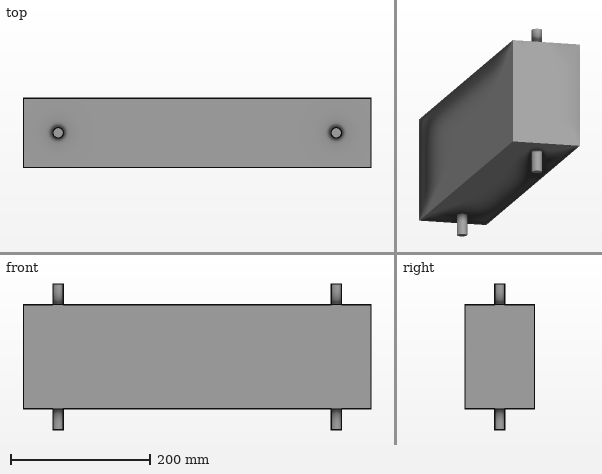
import cadquery as cq

block_length = 500.0
block_depth = 100.0
block_height = 150.0

pin_diameter = 15.0
pin_projection = 30.0
pin_spacing = 400.0


def make_block():
    return cq.Workplane("XY").box(block_length, block_depth, block_height)


def make_pins():
    """Two vertical pins that run through the block and project at both ends."""
    pin_length = block_height + 2 * pin_projection
    return (
        cq.Workplane("XY", origin=(0, 0, -pin_length / 2))
        .pushPoints([(-pin_spacing / 2, 0), (pin_spacing / 2, 0)])
        .circle(pin_diameter / 2)
        .extrude(pin_length)
    )


result = make_block().union(make_pins())